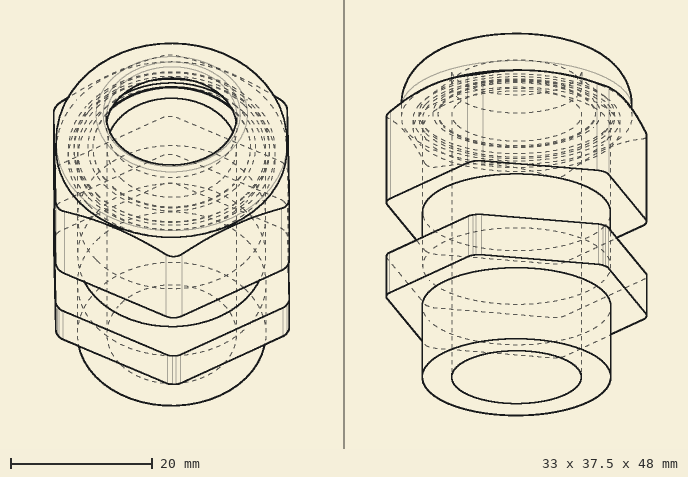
import cadquery as cq
import math


THREAD_TOP = 11.0
HEX_TOP = 17.25
NUT_BOTTOM = 25.55
SHOULDER_Z = 40.25
DOME_BASE_Z = 41.75
TOTAL_HEIGHT = 48

ACROSS_FLATS = 33.0
ACROSS_CORNERS = ACROSS_FLATS / math.cos(math.radians(30))
NUT_CORNER_RADIUS = 2.3
BODY_CORNER_TURN = 37.45
BODY_CORNER_BLEND = 1.45

THREAD_RADIUS = 13.35
BARREL_RADIUS = 13.3
BORE_RADIUS = 9.15
BARREL_TOP = 40.85
BARREL_BEVEL_RADIUS = 11.85
BARREL_BEVEL_DROP = 0.8
SEAT_RADIUS = 11.15
SEAT_DEPTH = 0.2

DOME_RADIUS = 16.3
DOME_FLAT_RADIUS = 10.7
SHOULDER_ANGLE = 30

MOUTH_RADIUS = 9.2
MOUTH_ROUND = 0.5
MOUTH_BOTTOM = 45.0
CLAMP_RADIUS = 13.8
CLAMP_BOTTOM = 40.8
RELIEF_RADIUS = 14.65
RELIEF_TOP = 40.05
RELIEF_BOTTOM = 38.4


def cylinder(radius, bottom, top):
    return cq.Workplane("XY").workplane(offset=bottom).circle(radius).extrude(top - bottom)


def hexagon(bottom, top):
    """Sharp-cornered hexagonal prism with corners on the Y axis."""
    return (
        cq.Workplane("XY")
        .workplane(offset=bottom)
        .polygon(6, ACROSS_CORNERS)
        .extrude(top - bottom)
        .rotate((0, 0, 0), (0, 0, 1), 30)
    )


def nut_envelope():
    """Round outer limit of the nut: conical shoulder, collar and dome."""
    cone_reach = ACROSS_CORNERS / 2
    cone_drop = (cone_reach - DOME_RADIUS) * math.tan(math.radians(SHOULDER_ANGLE))
    dome_rise = TOTAL_HEIGHT - DOME_BASE_Z
    dome_run = DOME_RADIUS - DOME_FLAT_RADIUS
    halfway = math.sin(math.radians(45))
    dome_middle = (DOME_FLAT_RADIUS + dome_run * halfway, DOME_BASE_Z + dome_rise * halfway)
    return (
        cq.Workplane("XZ")
        .moveTo(0, NUT_BOTTOM)
        .lineTo(cone_reach, NUT_BOTTOM)
        .lineTo(cone_reach, SHOULDER_Z - cone_drop)
        .lineTo(DOME_RADIUS, SHOULDER_Z)
        .lineTo(DOME_RADIUS, DOME_BASE_Z)
        .threePointArc(dome_middle, (DOME_FLAT_RADIUS, TOTAL_HEIGHT))
        .lineTo(0, TOTAL_HEIGHT)
        .close()
        .revolve()
    )


def nut_cavity():
    """Space inside the nut: barrel bore, relief groove, clamping cone and mouth."""
    return (
        cq.Workplane("XZ")
        .moveTo(0, NUT_BOTTOM)
        .lineTo(BARREL_RADIUS, NUT_BOTTOM)
        .lineTo(BARREL_RADIUS, RELIEF_BOTTOM)
        .lineTo(RELIEF_RADIUS, RELIEF_BOTTOM)
        .lineTo(RELIEF_RADIUS, RELIEF_TOP)
        .lineTo(CLAMP_RADIUS, RELIEF_TOP)
        .lineTo(CLAMP_RADIUS, CLAMP_BOTTOM)
        .lineTo(MOUTH_RADIUS, MOUTH_BOTTOM)
        .lineTo(MOUTH_RADIUS, TOTAL_HEIGHT - MOUTH_ROUND)
        .radiusArc((MOUTH_RADIUS + MOUTH_ROUND, TOTAL_HEIGHT), MOUTH_ROUND)
        .lineTo(0, TOTAL_HEIGHT)
        .close()
        .revolve()
    )


def make_cap_nut():
    blank = hexagon(NUT_BOTTOM, TOTAL_HEIGHT).edges("|Z").fillet(NUT_CORNER_RADIUS)
    return blank.intersect(nut_envelope()).cut(nut_cavity())


def body_hexagon():
    """Hexagon with its corners turned round and blended into the flats."""
    turned_limit = cylinder(BODY_CORNER_TURN / 2, THREAD_TOP, HEX_TOP)
    turned = hexagon(THREAD_TOP, HEX_TOP).intersect(turned_limit)
    return turned.edges("|Z").fillet(BODY_CORNER_BLEND)


def barrel():
    """Barrel with a flat bevel round its top end."""
    bevel_foot = BARREL_TOP - BARREL_BEVEL_DROP
    bevelled_end = cq.Workplane("XY").add(
        cq.Solid.makeCone(
            BARREL_RADIUS,
            BARREL_BEVEL_RADIUS,
            BARREL_BEVEL_DROP,
            cq.Vector(0, 0, bevel_foot),
        )
    )
    return cylinder(BARREL_RADIUS, HEX_TOP, bevel_foot).union(bevelled_end)


def make_body():
    thread = cylinder(THREAD_RADIUS, 0, THREAD_TOP)
    bore = cylinder(BORE_RADIUS, 0, BARREL_TOP)
    seat = cylinder(SEAT_RADIUS, BARREL_TOP - SEAT_DEPTH, BARREL_TOP)
    return thread.union(body_hexagon()).union(barrel()).cut(bore).cut(seat)


cap_nut = make_cap_nut()
body = make_body()
result = cq.Compound.makeCompound([cap_nut.solids().val(), body.solids().val()])